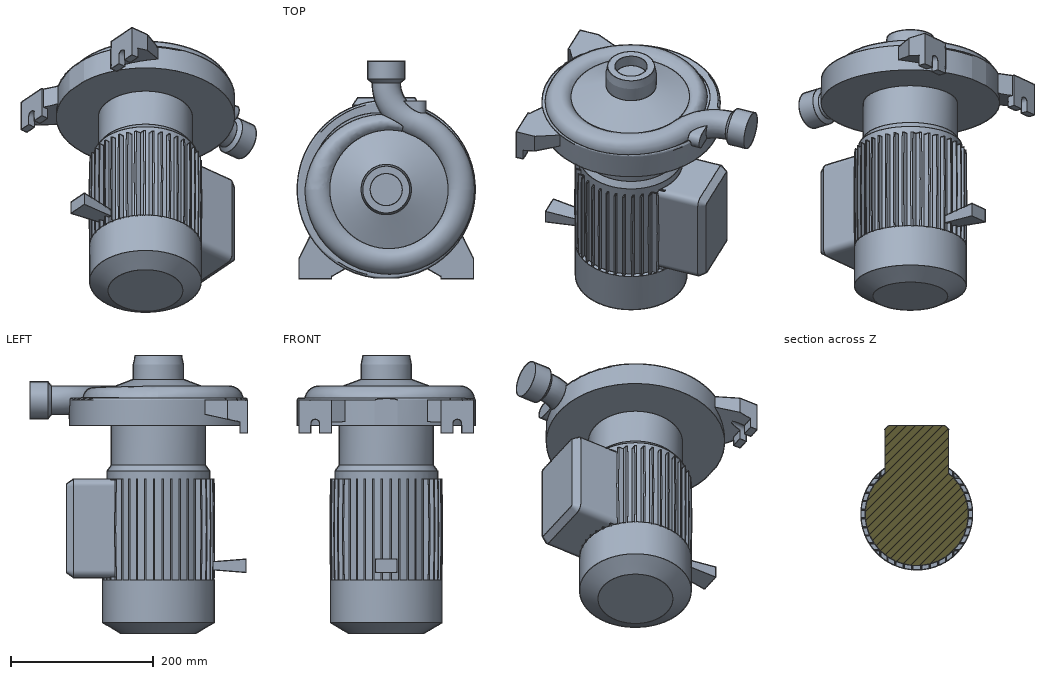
import cadquery as cq
import math

COVER_CHAMFER_TOP = 15.3
FINS_BOTTOM = 75.0
FINS_TOP = 216.8
COLLAR_TOP = 227.5
NECK_BOTTOM = 236.0
DISC_BOTTOM = 291.6
DISC_TOP = 330.0
SCROLL_Z = 327.0
SUCTION_BOTTOM = 356.4
SUCTION_TAPER_BOTTOM = 377.0
TOTAL_HEIGHT = 390.0

COVER_BOTTOM_RADIUS = 52.5
COVER_RADIUS = 78.4
CORE_RADIUS = 72.3
NECK_RADIUS = 66.1
DISC_RADIUS = 125.0
DISC_FILLET = 3.0
CONE_RADIUS = 90.0
CONE_SLOPE = 0.372
SUCTION_RADIUS = 35.3
SUCTION_TOP_RADIUS = 32.8
SUCTION_BORE_RADIUS = 22.5
SUCTION_BORE_DEPTH = 17.0

FLAT_Y = -124.0

FIN_COUNT = 40
FIN_THICKNESS = 2.0
FIN_ROOT_DEPTH = 1.0
FIN_BULGE = 0.8

SCROLL_CENTER_X = 4.8
SCROLL_RADIUS = 99.0
TUBE_RADIUS = 20.0
SCROLL_END_ANGLE = 69.5
TAIL_END_ANGLE = 78.0
TAIL_RADIUS = 92.0
TAIL_HALF_WIDTH = 11.6
TAIL_HALF_HEIGHT = 17.0
TAIL_SECTION_COUNT = 5
TAIL_LEDGE_CENTER = (-10.8, 13.7)
TAIL_LEDGE_RADIUS = 94.0
TAIL_LEDGE_HEIGHT = 0.8
OUTLET_X = 0.0
OUTLET_END_Y = 180.0
SOCKET_RADIUS = 26.0
SOCKET_CONE_LENGTH = 5.0

BOSS_X = 44.8
BOSS_RADIUS = 11.1
BOSS_INNER_X = 15.0
BOSS_START_Y = 95.0
BOSS_END_Y = 124.3

FOOT_FRONT_Y = -125.0
FOOT_OUTER_X = 122.5
FOOT_INNER_X = 76.6
FOOT_LEG_THICKNESS = 10.7
FOOT_LEG_BOTTOM = 281.0
FOOT_WEB_FRONT_BOTTOM = 296.6
FOOT_WEB_BACK_BOTTOM = 307.3
FOOT_WEB_BACK_Y = -65.0
FOOT_SIDE_BACK_Y = -97.0
FOOT_OUTER_ROOT = (90.0, -50.0)
FOOT_INNER_ROOT = (50.0, -106.5)
FOOT_INNER_RIM_POINT = (58.0, -111.2)
FOOT_INNER_STEP_Y = -122.0
FOOT_SLOT_WIDTH = 12.0
FOOT_SLOT_TOP = 300.4

BOX_HALF_WIDTH = 47.0
BOX_BOTTOM = 78.2
BOX_BACK_Y = 128.8
BOX_BEVEL_DEPTH = 10.0
BOX_BEVEL_INSET = 7.0
BOX_CORNER_RADIUS = 10.0

BRACKET_FRONT_Y = -123.0
BRACKET_WIDTH = 30.0
BRACKET_HEIGHT = 19.1
BRACKET_Z = 95.0
BRACKET_LENGTH = 55.0
BRACKET_DRAFT = 4.6


def revolved(profile):
    """Solid of revolution about Z from (radius, height) points."""
    return cq.Workplane("XZ").polyline(profile).close().revolve(360, (0, 0, 0), (0, 1, 0))


def scroll_point(angle, radius=SCROLL_RADIUS):
    """Point of the scroll plane at an angle and distance from the scroll centre."""
    turn = math.radians(angle)
    return (SCROLL_CENTER_X + radius * math.cos(turn), radius * math.sin(turn))


def motor_body():
    """Fan cover, finned section's core, collar and neck."""
    return revolved(
        [
            (0, 0),
            (COVER_BOTTOM_RADIUS, 0),
            (COVER_RADIUS, COVER_CHAMFER_TOP),
            (COVER_RADIUS, FINS_BOTTOM),
            (CORE_RADIUS, FINS_BOTTOM),
            (CORE_RADIUS, COLLAR_TOP),
            (NECK_RADIUS, NECK_BOTTOM),
            (NECK_RADIUS, DISC_BOTTOM),
            (0, DISC_BOTTOM),
        ]
    )


def cooling_fins():
    """Equally pitched fins, each parallel to whichever of X and Y it points along more."""
    height = FINS_TOP - FINS_BOTTOM
    root_radius = CORE_RADIUS - FIN_ROOT_DEPTH
    envelope = (
        cq.Workplane("XZ")
        .moveTo(root_radius, FINS_BOTTOM)
        .lineTo(COVER_RADIUS, FINS_BOTTOM)
        .threePointArc((COVER_RADIUS + FIN_BULGE, FINS_BOTTOM + height / 2), (COVER_RADIUS, FINS_TOP))
        .lineTo(root_radius, FINS_TOP)
        .close()
        .revolve(360, (0, 0, 0), (0, 1, 0))
    )
    pitch = 360 / FIN_COUNT
    length = 2 * (COVER_RADIUS + FIN_BULGE)
    offsets = [
        COVER_RADIUS * math.sin(math.radians((index + 0.5) * pitch - 45))
        for index in range(FIN_COUNT // 4)
    ]
    base = cq.Workplane("XY").workplane(offset=FINS_BOTTOM)
    along_y = base.pushPoints([(x, 0) for x in offsets]).rect(FIN_THICKNESS, length).extrude(height)
    fins_on_y = along_y.intersect(envelope)
    fins_on_x = fins_on_y.rotate((0, 0, 0), (0, 0, 1), 90)
    return fins_on_y.union(fins_on_x)


def pump_disc():
    """Disc behind the scroll, rounded at the top and cut flat at the front."""
    height = DISC_TOP - DISC_BOTTOM
    disc = cq.Workplane("XY").circle(DISC_RADIUS).extrude(height).faces(">Z").edges().fillet(DISC_FILLET)
    behind_flat = (
        cq.Workplane("XY")
        .box(2 * DISC_RADIUS, DISC_RADIUS - FLAT_Y, height, centered=(True, False, False))
        .translate((0, FLAT_Y, 0))
    )
    return disc.intersect(behind_flat).translate((0, 0, DISC_BOTTOM))


def suction_cone():
    """Shallow cone over the disc, rising into the suction pipe with its blind bore."""
    cone_bottom = SUCTION_BOTTOM - CONE_SLOPE * (CONE_RADIUS - SUCTION_RADIUS)
    bore_bottom = TOTAL_HEIGHT - SUCTION_BORE_DEPTH
    return revolved(
        [
            (0, DISC_BOTTOM),
            (CONE_RADIUS, DISC_BOTTOM),
            (CONE_RADIUS, cone_bottom),
            (SUCTION_RADIUS, SUCTION_BOTTOM),
            (SUCTION_RADIUS, SUCTION_TAPER_BOTTOM),
            (SUCTION_TOP_RADIUS, TOTAL_HEIGHT),
            (SUCTION_BORE_RADIUS, TOTAL_HEIGHT),
            (SUCTION_BORE_RADIUS, bore_bottom),
            (0, bore_bottom),
        ]
    )


def scroll_and_outlet():
    """Round tube around the cone, bending back to leave along +Y through a wider socket."""
    start = scroll_point(180)
    bend_start = scroll_point(SCROLL_END_ANGLE)
    turn = math.radians(SCROLL_END_ANGLE)
    bend_radius = (bend_start[0] - OUTLET_X) / (1 - math.cos(turn))
    bend_center = scroll_point(SCROLL_END_ANGLE, SCROLL_RADIUS + bend_radius)
    bend_end = (OUTLET_X, bend_center[1])
    bend_middle = (
        bend_center[0] - bend_radius * math.cos(turn / 2),
        bend_center[1] - bend_radius * math.sin(turn / 2),
    )
    path = (
        cq.Workplane("XY", origin=(0, 0, SCROLL_Z))
        .moveTo(*start)
        .threePointArc(scroll_point(270), scroll_point(0))
        .threePointArc(scroll_point(SCROLL_END_ANGLE / 2), bend_start)
        .threePointArc(bend_middle, bend_end)
    )
    tube = cq.Workplane("XZ", origin=(start[0], start[1], SCROLL_Z)).circle(TUBE_RADIUS).sweep(path)

    socket_profile = [
        (OUTLET_X, bend_end[1]),
        (OUTLET_X + TUBE_RADIUS, bend_end[1]),
        (OUTLET_X + SOCKET_RADIUS, bend_end[1] + SOCKET_CONE_LENGTH),
        (OUTLET_X + SOCKET_RADIUS, OUTLET_END_Y),
        (OUTLET_X, OUTLET_END_Y),
    ]
    socket = (
        cq.Workplane("XY", origin=(0, 0, SCROLL_Z))
        .polyline(socket_profile)
        .close()
        .revolve(360, (OUTLET_X, 0, 0), (OUTLET_X, 1, 0))
    )
    return tube.union(socket)


def tail_section(angle, radius, half_width, half_height):
    """Elliptical outline standing across the scroll at an angle."""
    x, y = scroll_point(angle, radius)
    turn = math.radians(angle)
    plane = cq.Plane(
        origin=(x, y, SCROLL_Z),
        xDir=(0, 0, -1),
        normal=(math.sin(turn), -math.cos(turn), 0),
    )
    return cq.Workplane(plane).ellipse(half_height, half_width).wire().val()


def scroll_tail():
    """Narrowing start of the scroll, from the full tube back to beneath the outlet bend."""
    sections = []
    for index in range(TAIL_SECTION_COUNT):
        part = index / (TAIL_SECTION_COUNT - 1)
        sections.append(
            tail_section(
                180 + part * (TAIL_END_ANGLE - 180),
                SCROLL_RADIUS + part * (TAIL_RADIUS - SCROLL_RADIUS),
                TUBE_RADIUS + part * (TAIL_HALF_WIDTH - TUBE_RADIUS),
                TUBE_RADIUS + part * (TAIL_HALF_HEIGHT - TUBE_RADIUS),
            )
        )
    return cq.Workplane(cq.Solid.makeLoft(sections))


def tail_ledge():
    """Thin round step on the disc that shows along the outside of the narrowing tail."""
    return (
        cq.Workplane("XY", origin=(*TAIL_LEDGE_CENTER, DISC_BOTTOM))
        .circle(TAIL_LEDGE_RADIUS)
        .extrude(DISC_TOP - DISC_BOTTOM + TAIL_LEDGE_HEIGHT)
    )


def outlet_boss():
    """Bar along Y with a rounded outer side, joined to the outlet bend."""
    return (
        cq.Workplane(cq.Plane(origin=(0, BOSS_END_Y, SCROLL_Z), xDir=(1, 0, 0), normal=(0, -1, 0)))
        .moveTo(BOSS_INNER_X, -BOSS_RADIUS)
        .lineTo(BOSS_X, -BOSS_RADIUS)
        .threePointArc((BOSS_X + BOSS_RADIUS, 0), (BOSS_X, BOSS_RADIUS))
        .lineTo(BOSS_INNER_X, BOSS_RADIUS)
        .close()
        .extrude(BOSS_END_Y - BOSS_START_Y)
    )


def right_foot():
    """Foot on the +X side: a sloping web off the disc with a slotted leg at its front."""
    top = DISC_TOP - DISC_FILLET
    leg_back_y = FOOT_FRONT_Y + FOOT_LEG_THICKNESS
    root_y = FOOT_OUTER_ROOT[1]
    rim_x = math.sqrt(DISC_RADIUS**2 - FOOT_WEB_BACK_Y**2)
    plan = (
        cq.Workplane("XY")
        .polyline(
            [
                (FOOT_OUTER_X, FOOT_FRONT_Y),
                (FOOT_OUTER_X, FOOT_SIDE_BACK_Y),
                (rim_x, FOOT_WEB_BACK_Y),
                FOOT_OUTER_ROOT,
                FOOT_INNER_ROOT,
                FOOT_INNER_RIM_POINT,
                (FOOT_INNER_X, FOOT_INNER_STEP_Y),
                (FOOT_INNER_X, FOOT_FRONT_Y),
            ]
        )
        .close()
        .extrude(TOTAL_HEIGHT)
    )
    side = (
        cq.Workplane("YZ")
        .polyline(
            [
                (root_y, top),
                (FOOT_FRONT_Y, top),
                (FOOT_FRONT_Y, FOOT_WEB_FRONT_BOTTOM),
                (leg_back_y, FOOT_WEB_FRONT_BOTTOM),
                (FOOT_WEB_BACK_Y, FOOT_WEB_BACK_BOTTOM),
                (root_y, FOOT_WEB_BACK_BOTTOM),
            ]
        )
        .close()
        .extrude(2 * FOOT_OUTER_X)
    )
    leg = (
        cq.Workplane("XY")
        .box(FOOT_OUTER_X - FOOT_INNER_X, FOOT_LEG_THICKNESS, top - FOOT_LEG_BOTTOM, centered=False)
        .translate((FOOT_INNER_X, FOOT_FRONT_Y, FOOT_LEG_BOTTOM))
    )
    slot_x = (FOOT_OUTER_X + FOOT_INNER_X) / 2
    slot_radius = FOOT_SLOT_WIDTH / 2
    arc_z = FOOT_SLOT_TOP - slot_radius
    slot = (
        cq.Workplane("XZ", origin=(slot_x, 0, 0))
        .moveTo(-slot_radius, 0)
        .lineTo(-slot_radius, arc_z)
        .threePointArc((0, FOOT_SLOT_TOP), (slot_radius, arc_z))
        .lineTo(slot_radius, 0)
        .close()
        .extrude(-FOOT_FRONT_Y)
    )
    return plan.intersect(side).union(leg).cut(slot)


def terminal_box():
    """Rounded box on the back of the motor, bevelled around its outer face."""
    height = FINS_TOP - BOX_BOTTOM
    return (
        cq.Workplane("XY")
        .box(2 * BOX_HALF_WIDTH, BOX_BACK_Y, height, centered=(True, False, False))
        .edges("|Y")
        .fillet(BOX_CORNER_RADIUS)
        .faces(">Y")
        .edges()
        .chamfer(BOX_BEVEL_INSET, BOX_BEVEL_DEPTH)
        .translate((0, 0, BOX_BOTTOM))
    )


def support_bracket():
    """Rectangular arm that narrows from its front end toward the motor."""
    front = cq.Plane(origin=(0, BRACKET_FRONT_Y, BRACKET_Z), xDir=(1, 0, 0), normal=(0, 1, 0))
    outline = cq.Workplane(front).rect(BRACKET_WIDTH, BRACKET_HEIGHT)
    return outline.extrude(BRACKET_LENGTH, taper=BRACKET_DRAFT)


foot = right_foot()
result = (
    motor_body()
    .union(cooling_fins())
    .union(terminal_box())
    .union(support_bracket())
    .union(pump_disc())
    .union(foot)
    .union(foot.mirror("YZ"))
    .union(suction_cone())
    .union(tail_ledge())
    .union(scroll_tail())
    .union(scroll_and_outlet())
    .union(outlet_boss())
)